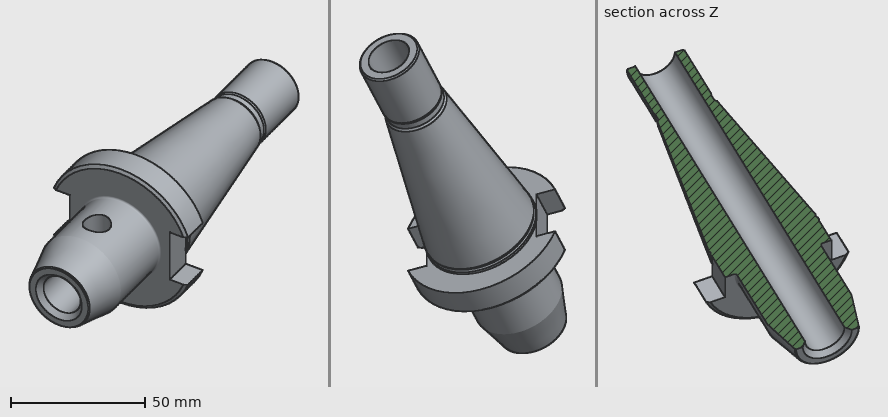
import cadquery as cq

LENGTH = 152.3

NOSE_TIP_RADIUS = 13.3
NOSE_TIP_CHAMFER = 0.5
NOSE_RADIUS = 17.4
NOSE_CONE_LENGTH = 15.8
NOSE_FILLET = 0.8

FLANGE_RADIUS = 62.6 / 2
FLANGE_FRONT = 43.4
FLANGE_BACK = 54.8
FLANGE_CHAMFER_LENGTH = 0.9
FLANGE_CHAMFER_DEPTH = 1.4
SLOT_WIDTH = 22.1
SLOT_FLOOR_SPAN = 43.7

TAPER_START = 57.7
TAPER_END = 123.8
TAPER_LARGE_RADIUS = 22.0
TAPER_SMALL_RADIUS = TAPER_LARGE_RADIUS - (TAPER_END - TAPER_START) * 7 / 48
COLLAR_RADIUS = 22.1
COLLAR_END = 55.9
V_GROOVE_BOTTOM = 56.8
V_GROOVE_RADIUS = 21.6

TAIL_RADIUS = 11.9
TAIL_START = 128.2
TAIL_CHAMFER = 0.6
RELIEF_RADIUS = 11.5
RELIEF_RAMP = 0.9

BORE_RADIUS = 8.0
BORE_MOUTH_RADIUS = 10.0
BORE_MOUTH_DEPTH = 2.3
SCREW_HOLE_RADIUS = 5.3
SCREW_HOLE_Y = 27.1


def revolve_profile(profile):
    """Revolve a closed (radius, Y) profile about the Y axis."""
    return profile.close().revolve(360, (0, 0, 0), (0, 1, 0))


def make_body():
    profile = (
        cq.Workplane("XY")
        .lineTo(NOSE_TIP_RADIUS - NOSE_TIP_CHAMFER, 0)
        .lineTo(NOSE_TIP_RADIUS, NOSE_TIP_CHAMFER)
        .lineTo(NOSE_RADIUS, NOSE_CONE_LENGTH)
        .lineTo(NOSE_RADIUS, FLANGE_FRONT - NOSE_FILLET)
        .radiusArc((NOSE_RADIUS + NOSE_FILLET, FLANGE_FRONT), NOSE_FILLET)
        .lineTo(FLANGE_RADIUS - FLANGE_CHAMFER_DEPTH, FLANGE_FRONT)
        .lineTo(FLANGE_RADIUS, FLANGE_FRONT + FLANGE_CHAMFER_LENGTH)
        .lineTo(FLANGE_RADIUS, FLANGE_BACK)
        .lineTo(COLLAR_RADIUS, FLANGE_BACK)
        .lineTo(COLLAR_RADIUS, COLLAR_END)
        .lineTo(V_GROOVE_RADIUS, V_GROOVE_BOTTOM)
        .lineTo(TAPER_LARGE_RADIUS, TAPER_START)
        .lineTo(TAPER_SMALL_RADIUS, TAPER_END)
        .lineTo(RELIEF_RADIUS, TAPER_END + RELIEF_RAMP)
        .lineTo(RELIEF_RADIUS, TAIL_START - RELIEF_RAMP)
        .lineTo(TAIL_RADIUS, TAIL_START)
        .lineTo(TAIL_RADIUS, LENGTH - TAIL_CHAMFER)
        .lineTo(TAIL_RADIUS - TAIL_CHAMFER, LENGTH)
        .lineTo(0, LENGTH)
    )
    return revolve_profile(profile)


def make_bore():
    """Through bore with a conical mouth at the nose."""
    profile = (
        cq.Workplane("XY")
        .lineTo(BORE_MOUTH_RADIUS, 0)
        .lineTo(BORE_RADIUS, BORE_MOUTH_DEPTH)
        .lineTo(BORE_RADIUS, LENGTH)
        .lineTo(0, LENGTH)
    )
    return revolve_profile(profile)


def make_drive_slot(side):
    """Slot through the flange thickness; side is +1 or -1 along X."""
    depth = FLANGE_RADIUS - SLOT_FLOOR_SPAN / 2
    center_x = side * (SLOT_FLOOR_SPAN / 2 + depth / 2)
    center_y = (FLANGE_FRONT + FLANGE_BACK) / 2
    slot = cq.Workplane("XY").box(depth, FLANGE_BACK - FLANGE_FRONT, SLOT_WIDTH)
    return slot.translate((center_x, center_y, 0))


def make_screw_hole():
    """Clamping screw hole from the top of the nose into the bore."""
    return cq.Workplane("XY").center(0, SCREW_HOLE_Y).circle(SCREW_HOLE_RADIUS).extrude(NOSE_RADIUS)


result = make_body().cut(make_bore()).cut(make_screw_hole())
for side in (-1, 1):
    result = result.cut(make_drive_slot(side))